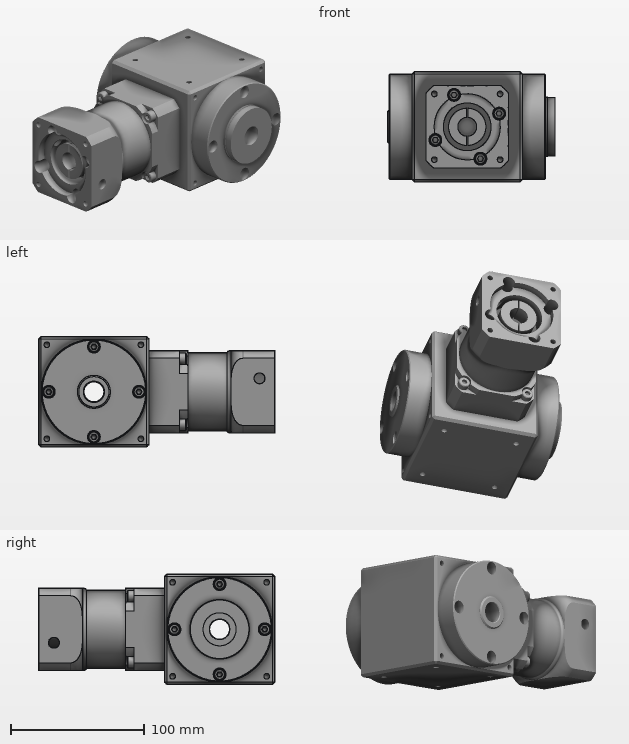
import cadquery as cq
import math


CUBE = 83.0
CUBE_HALF = CUBE / 2
CUBE_CHAMFER = 2.0

FLANGE_R = 39.5
FLANGE_X = 58.8
FLANGE_CHAMFER = 0.7
SHAFT_R = 12.5
SHAFT_END_X = 60.0
SHAFT_CHAMFER = 1.0
SHAFT_BORE_R = 7.5
SHAFT_BORE_CHAMFER = 0.5

DISC_COLLAR_R = 22.4
DISC_COLLAR_X = 60.4
DISC_R = 22.0
DISC_X = 66.0

TAP_R = 2.1
TAP_DEPTH = 8.9
DRILL_POINT_ANGLE = 118.0
PLATE_HOLE_OFFSET = 28.2
SIDE_HOLE_OFFSET = 35.3

SCREWS_PER_CIRCLE = 4
HEAD_R = 4.3
HEAD_H = 5.0
HEAD_CHAMFER = 0.5
SOCKET_FLATS = 3.9
SOCKET_DEPTH = 2.5
SOCKET_POINT_R = 1.8
SCREW_HOLE_R = 4.8
FLANGE_SCREW_CIRCLE_R = 33.9
FLANGE_SCREW_HOLE_DEPTH = 13.8

DRIVE_SQUARE = 62.0
DRIVE_TURNED_R = 40.0
MOUNT_END_Y = -70.6
POCKET_LENGTH = 6.2
POCKET_WALL_R = 33.9
MOUNT_SCREW_CIRCLE_R = 35.0
MOUNT_SCREW_ANGLE = 45
RING_GEAR_R = 29.5
RING_GEAR_END_Y = -100.0
COLLAR_R = 30.9
COLLAR_ROUND_R = 2.5
ADAPTER_START_Y = -103.0
ADAPTER_ROUND_R = DRIVE_TURNED_R - COLLAR_R
OVERALL_LENGTH = 177.5
DRIVE_END_Y = CUBE_HALF - OVERALL_LENGTH

PILOT_R = 24.8
PILOT_DEPTH = 6.2
CAVITY_R = 18.0
CAVITY_DEPTH = 21.3
HUB_R = 14.0
HUB_RECESS = 7.6
HUB_BORE_R = 7.1
SLIT_WIDTH = 1.0
MOTOR_HOLE_OFFSET = 24.7
ADAPTER_SCREW_CIRCLE_R = 26.0
ADAPTER_SCREW_ANGLE = 22.5
ADAPTER_SCREW_HOLE_DEPTH = 21.3
ACCESS_HOLE_R = 4.0
ACCESS_HOLE_Y = -124.5
ACCESS_HOLE_Z = 10.1


def cylinder(radius, start, direction, length):
    return cq.Workplane(obj=cq.Solid.makeCylinder(radius, length, cq.Vector(*start), cq.Vector(*direction)))


def drill_point(radius, start, direction):
    depth = radius / math.tan(math.radians(DRILL_POINT_ANGLE / 2))
    return cq.Workplane(obj=cq.Solid.makeCone(radius, 0, depth, cq.Vector(*start), cq.Vector(*direction)))


def tapped_hole(mouth, direction):
    """Cutter for a blind hole with a conical drill point."""
    bottom = (cq.Vector(*mouth) + cq.Vector(*direction) * TAP_DEPTH).toTuple()
    return cylinder(TAP_R, mouth, direction, TAP_DEPTH).union(drill_point(TAP_R, bottom, direction))


def cap_screw_head(seat, direction):
    """Socket head standing on its seat and pointing along direction."""
    plane = cq.Plane(origin=seat, normal=direction)
    top_face = cq.selectors.DirectionMinMaxSelector(cq.Vector(*direction), True)
    head = cq.Workplane(plane).circle(HEAD_R).extrude(HEAD_H).faces(top_face).chamfer(HEAD_CHAMFER)
    socket = (
        cq.Workplane(plane)
        .workplane(offset=HEAD_H - SOCKET_DEPTH)
        .polygon(6, SOCKET_FLATS, circumscribed=True)
        .extrude(SOCKET_DEPTH)
    )
    return head.cut(socket)


def screw_circle_points(radius, start_angle):
    """Evenly spaced screw centres on a circle; the first is at start_angle degrees."""
    angles = [math.radians(start_angle + 360 * i / SCREWS_PER_CIRCLE) for i in range(SCREWS_PER_CIRCLE)]
    return [(radius * math.cos(a), radius * math.sin(a)) for a in angles]


def square_points(offset):
    return [(u * offset, v * offset) for u in (-1, 1) for v in (-1, 1)]


def drive_square(start_y, end_y):
    """Square bar of the input drive with its corners turned round."""
    length = start_y - end_y
    middle_y = (start_y + end_y) / 2
    bar = cq.Workplane("XY").box(DRIVE_SQUARE, length, DRIVE_SQUARE).translate((0, middle_y, 0))
    return bar.intersect(cylinder(DRIVE_TURNED_R, (0, start_y, 0), (0, -1, 0), length))


def make_cube():
    cube = cq.Workplane("XY").box(CUBE, CUBE, CUBE).edges().chamfer(CUBE_CHAMFER)
    for u, v in square_points(PLATE_HOLE_OFFSET):
        for side in (-1, 1):
            cube = cube.cut(tapped_hole((u, v, side * CUBE_HALF), (0, 0, -side)))
    for u, v in square_points(SIDE_HOLE_OFFSET):
        for side in (-1, 1):
            cube = cube.cut(tapped_hole((side * CUBE_HALF, u, v), (-side, 0, 0)))
    return cube


def make_flange(side):
    """Round output flange with its recessed screws; side is -1 or +1 along X."""
    outward = (side, 0, 0)
    inward = (-side, 0, 0)
    thickness = FLANGE_X - CUBE_HALF
    flange = cylinder(FLANGE_R, (side * CUBE_HALF, 0, 0), outward, thickness)
    flange = flange.faces(">X" if side > 0 else "<X").chamfer(FLANGE_CHAMFER)
    seat_x = side * (FLANGE_X - FLANGE_SCREW_HOLE_DEPTH)
    for y, z in screw_circle_points(FLANGE_SCREW_CIRCLE_R, 0):
        flange = flange.cut(cylinder(SCREW_HOLE_R, (seat_x, y, z), outward, FLANGE_SCREW_HOLE_DEPTH))
        head = cap_screw_head((seat_x, y, z), outward)
        socket_floor = (seat_x + side * (HEAD_H - SOCKET_DEPTH), y, z)
        flange = flange.union(head.cut(drill_point(SOCKET_POINT_R, socket_floor, inward)))
    return flange


def make_mounting_block():
    """Square block on the cube with a screw in each corner pocket."""
    block = drive_square(-CUBE_HALF, MOUNT_END_Y)
    floor_y = MOUNT_END_Y + POCKET_LENGTH
    outward = (0, -1, 0)
    pockets = (
        cylinder(DRIVE_SQUARE, (0, floor_y, 0), outward, POCKET_LENGTH)
        .cut(cylinder(POCKET_WALL_R, (0, floor_y, 0), outward, POCKET_LENGTH))
    )
    block = block.cut(pockets)
    for x, z in screw_circle_points(MOUNT_SCREW_CIRCLE_R, MOUNT_SCREW_ANGLE):
        block = block.cut(cylinder(SCREW_HOLE_R, (x, floor_y, z), outward, POCKET_LENGTH))
        block = block.union(cap_screw_head((x, floor_y, z), outward))
    return block


def round_to_cylinder(start_r, end_r, round_r, start_y):
    """Middle and end of a convex round that runs towards -Y and ends tangent to a cylinder of end_r."""
    sweep = math.acos(1 - (end_r - start_r) / round_r)
    end_y = start_y - round_r * math.sin(sweep)
    centre_r = end_r - round_r
    middle = (centre_r + round_r * math.cos(sweep / 2), end_y + round_r * math.sin(sweep / 2))
    return middle, (end_r, end_y)


def make_ring_gear_and_adapter():
    """Turned ring gear, collar and rounded adapter shoulder, trimmed square at the motor end."""
    collar_round = round_to_cylinder(RING_GEAR_R, COLLAR_R, COLLAR_ROUND_R, RING_GEAR_END_Y)
    shoulder_round = round_to_cylinder(COLLAR_R, DRIVE_TURNED_R, ADAPTER_ROUND_R, ADAPTER_START_Y)
    turned = (
        cq.Workplane("XY")
        .moveTo(0, MOUNT_END_Y)
        .lineTo(RING_GEAR_R, MOUNT_END_Y)
        .lineTo(RING_GEAR_R, RING_GEAR_END_Y)
        .threePointArc(*collar_round)
        .lineTo(COLLAR_R, ADAPTER_START_Y)
        .threePointArc(*shoulder_round)
        .lineTo(DRIVE_TURNED_R, DRIVE_END_Y)
        .lineTo(0, DRIVE_END_Y)
        .close()
        .revolve(360, (0, 0, 0), (0, 1, 0))
    )
    return turned.intersect(drive_square(MOUNT_END_Y, DRIVE_END_Y))


def cut_motor_side(adapter):
    """Pilot recess, clamping hub in its cavity, screws and holes of the motor face."""
    inward = (0, 1, 0)
    face = (0, DRIVE_END_Y, 0)
    adapter = adapter.cut(cylinder(PILOT_R, face, inward, PILOT_DEPTH))
    cavity = cylinder(CAVITY_R, face, inward, CAVITY_DEPTH)

    hub_y = DRIVE_END_Y + HUB_RECESS
    hub_length = CAVITY_DEPTH - HUB_RECESS
    hub = cylinder(HUB_R, (0, hub_y, 0), inward, hub_length)
    hub = hub.cut(cylinder(HUB_BORE_R, (0, hub_y, 0), inward, hub_length))
    slit = (
        cq.Workplane("XY")
        .box(SLIT_WIDTH, hub_length, 2 * HUB_R)
        .translate((0, hub_y + hub_length / 2, 0))
    )
    cavity = cavity.cut(hub.cut(slit))
    adapter = adapter.cut(cavity)

    for x, z in square_points(MOTOR_HOLE_OFFSET):
        adapter = adapter.cut(tapped_hole((x, DRIVE_END_Y, z), inward))
    seat_y = DRIVE_END_Y + ADAPTER_SCREW_HOLE_DEPTH
    for x, z in screw_circle_points(ADAPTER_SCREW_CIRCLE_R, ADAPTER_SCREW_ANGLE):
        adapter = adapter.cut(cylinder(SCREW_HOLE_R, (x, DRIVE_END_Y, z), inward, ADAPTER_SCREW_HOLE_DEPTH))
        adapter = adapter.union(cap_screw_head((x, seat_y, z), (0, -1, 0)))

    return adapter.cut(make_access_holes())


def make_access_holes():
    """Cutter for the two opposite side holes that open into the hub cavity."""
    half_width = DRIVE_SQUARE / 2
    hole = cylinder(ACCESS_HOLE_R, (-half_width, ACCESS_HOLE_Y, ACCESS_HOLE_Z), (1, 0, 0), half_width)
    hole = hole.cut(cylinder(CAVITY_R, (0, DRIVE_END_Y, 0), (0, 1, 0), CAVITY_DEPTH))
    return hole.union(hole.rotate((0, 0, 0), (0, 1, 0), 180))


def make_shaft_bore():
    """Cutter for the through bore, with a chamfered mouth on the -X side."""
    mouth = cq.Vector(-SHAFT_END_X, 0, 0)
    inward = cq.Vector(1, 0, 0)
    mouth_r = SHAFT_BORE_R + SHAFT_BORE_CHAMFER
    chamfer = cq.Solid.makeCone(mouth_r, SHAFT_BORE_R, SHAFT_BORE_CHAMFER, mouth, inward)
    bore = cylinder(SHAFT_BORE_R, mouth.toTuple(), inward.toTuple(), SHAFT_END_X + DISC_X)
    return bore.union(cq.Workplane(obj=chamfer))


def make_gearbox():
    gearbox = make_cube()
    for side in (-1, 1):
        gearbox = gearbox.union(make_flange(side))
    shaft = cylinder(SHAFT_R, (-SHAFT_END_X, 0, 0), (1, 0, 0), SHAFT_END_X + DISC_X)
    gearbox = gearbox.union(shaft.faces("<X").chamfer(SHAFT_CHAMFER))
    gearbox = gearbox.union(make_mounting_block())
    gearbox = gearbox.union(cut_motor_side(make_ring_gear_and_adapter()))
    return gearbox.cut(make_shaft_bore())


def make_clamping_disc():
    """Ring that clamps the +X end of the hollow shaft."""
    outward = (1, 0, 0)
    seat = (FLANGE_X, 0, 0)
    collar = cylinder(DISC_COLLAR_R, seat, outward, DISC_COLLAR_X - FLANGE_X)
    disc = collar.union(cylinder(DISC_R, seat, outward, DISC_X - FLANGE_X))
    return disc.cut(cylinder(SHAFT_R, seat, outward, DISC_X - FLANGE_X))


gearbox = make_gearbox()
clamping_disc = make_clamping_disc()

result = cq.Compound.makeCompound([gearbox.val(), clamping_disc.val()])